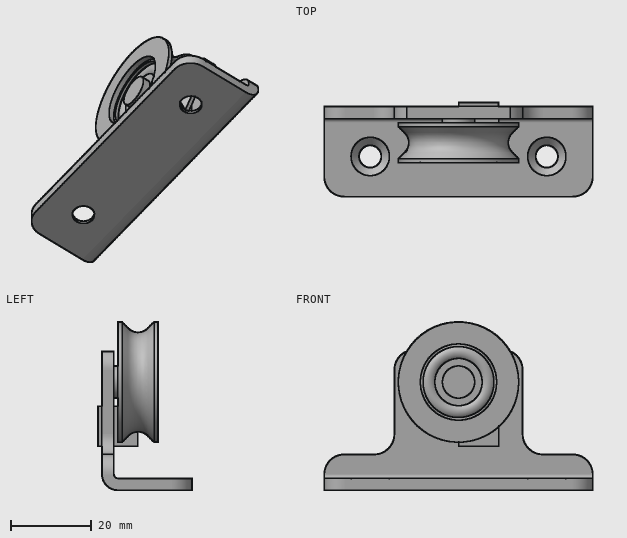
import cadquery as cq
import math

length = 67.0
thickness = 3.0
base_depth = 22.5
bend_inner_radius = 1.0
bend_outer_radius = bend_inner_radius + thickness
corner_radius = 5.0
shoulder_height = 9.0
upright_width = 32.0
upright_height = 34.65
upright_corner_start = 30.0

hole_spacing = 44.0
hole_y = -12.45
hole_diameter = 5.5
countersink_diameter = 9.6
countersink_angle = 90.0

axle_height = 27.0
axle_radius = 4.0
axle_setback = 0.5
wheel_radius = 15.0
wheel_width = 10.0
wheel_gap = 1.0
rim_width = 1.0
groove_flank = 1.6
recess_radius = 9.5
recess_depth = 1.5
bead_seat_depth = 2.5
bead_outer_radius = 8.85
bead_inner_radius = 5.9
bead_rise = 0.7

block_side = 10.0
block_bottom = 11.0
block_overhang = 1.0

wheel_back = thickness + wheel_gap
wheel_front = wheel_back + wheel_width


def make_bracket():
    """L-shaped sheet: bent strip trimmed by the upright and base outlines."""
    strip = (
        cq.Workplane("YZ")
        .moveTo(0, upright_height)
        .lineTo(0, bend_outer_radius)
        .radiusArc((-bend_outer_radius, 0), bend_outer_radius)
        .lineTo(-base_depth, 0)
        .lineTo(-base_depth, thickness)
        .lineTo(-bend_outer_radius, thickness)
        .radiusArc((-thickness, bend_outer_radius), -bend_inner_radius)
        .lineTo(-thickness, upright_height)
        .close()
        .extrude(length / 2, both=True)
    )
    foot = (
        cq.Workplane("XY")
        .box(length, base_depth, shoulder_height, centered=(True, False, False))
        .translate((0, -base_depth, 0))
        .edges("|Y and >Z")
        .fillet(corner_radius)
    )
    upright = (
        cq.Workplane("XY")
        .box(upright_width, base_depth, upright_corner_start + corner_radius, centered=(True, False, False))
        .translate((0, -base_depth, 0))
        .edges("|Y and >Z")
        .fillet(corner_radius)
    )
    outline = foot.union(upright)
    half_width = upright_width / 2
    inner_corners = cq.selectors.BoxSelector(
        (-half_width - 0.7, -base_depth, shoulder_height - 0.7),
        (half_width + 0.7, 0, shoulder_height + 0.7),
    )
    outline = outline.edges("|Y").edges(inner_corners).fillet(corner_radius)
    return strip.intersect(outline).edges("|Z and <Y").fillet(corner_radius)


def cut_mounting_holes(bracket):
    return (
        bracket.copyWorkplane(cq.Workplane("XY", origin=(0, 0, thickness)))
        .pushPoints([(-hole_spacing / 2, hole_y), (hole_spacing / 2, hole_y)])
        .cskHole(hole_diameter, countersink_diameter, countersink_angle, depth=thickness)
    )


def revolve_about_axle(profile):
    """Revolve a (radius, Y) profile about Y and lift it to the axle height."""
    return profile.close().revolve(360, (0, 0), (0, 1)).translate((0, 0, axle_height))


def make_wheel():
    """Wheel with a rounded V groove and a stepped front recess holding a convex bead."""
    middle = -(wheel_back + wheel_width / 2)
    arc_half_width = wheel_width / 2 - rim_width - groove_flank
    arc_depth = arc_half_width * math.tan(math.radians(45 / 2))
    flank_radius = wheel_radius - groove_flank
    recess_floor = -(wheel_front - recess_depth)
    bead_seat = -(wheel_front - bead_seat_depth)
    wheel = revolve_about_axle(
        cq.Workplane("XY")
        .moveTo(0, -wheel_back)
        .lineTo(wheel_radius, -wheel_back)
        .lineTo(wheel_radius, -wheel_back - rim_width)
        .lineTo(flank_radius, middle + arc_half_width)
        .threePointArc((flank_radius - arc_depth, middle), (flank_radius, middle - arc_half_width))
        .lineTo(wheel_radius, -wheel_front + rim_width)
        .lineTo(wheel_radius, -wheel_front)
        .lineTo(recess_radius, -wheel_front)
        .lineTo(recess_radius, recess_floor)
        .lineTo(bead_outer_radius, recess_floor)
        .lineTo(bead_outer_radius, bead_seat)
        .lineTo(0, bead_seat)
    )
    bead_middle_radius = (bead_outer_radius + bead_inner_radius) / 2
    bead = revolve_about_axle(
        cq.Workplane("XY")
        .moveTo(bead_inner_radius, bead_seat)
        .threePointArc(
            (bead_middle_radius, bead_seat - bead_rise),
            (bead_outer_radius, bead_seat),
        )
    )
    return wheel.union(bead)


def make_axle():
    return (
        cq.Workplane("XZ")
        .center(0, axle_height)
        .circle(axle_radius)
        .extrude(wheel_front - axle_setback)
    )


def make_block():
    return (
        cq.Workplane("XY")
        .box(block_side, block_side, block_side, centered=False)
        .translate((0, block_overhang - block_side, block_bottom))
    )


bracket = cut_mounting_holes(make_bracket())
result = bracket.union(make_axle()).union(make_wheel()).union(make_block())